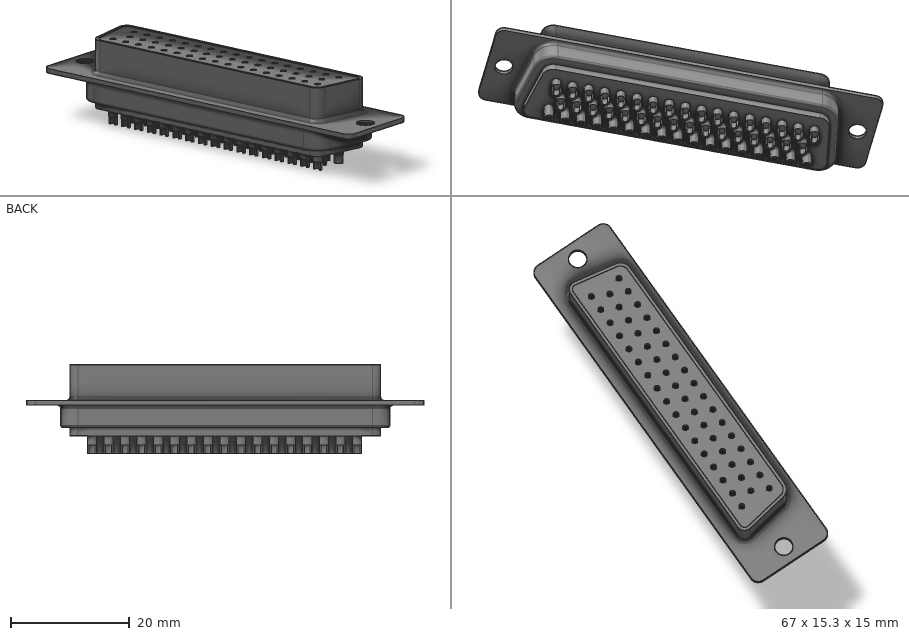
import cadquery as cq
import math


CUP_SHOULDER_Z = 1.5
BODY_BOTTOM_Z = 3.0
HOUSING_BOTTOM_Z = 4.4
FLANGE_BOTTOM_Z = 8.2
FLANGE_TOP_Z = 9.0
BODY_TOP_Z = 15.0

FLANGE_LENGTH = 67.05
FLANGE_WIDTH = 15.35
FLANGE_CORNER_RADIUS = 1.5
MOUNT_HOLE_SPACING = 61.3
MOUNT_HOLE_DIAMETER = 3.1

BODY_HALF_LENGTH = 25.55
BODY_WIDTH = 10.85
END_SLANT = math.radians(10)
WIDE_CORNER_RADIUS = 1.4
NARROW_CORNER_RADIUS = 2.0

HOUSING_OFFSET = 1.55
HOUSING_EDGE_RADIUS = 0.35
FLARE_RADIUS = 0.6

RIM_THICKNESS = 0.55
INSERT_RECESS = 0.1

ROW_LENGTH = 44.7
OUTER_ROW_COUNT = 17
CONTACT_PITCH = ROW_LENGTH / (OUTER_ROW_COUNT - 1)
ROW_SHIFT = 0.15
ROW_SPACING = 2.8
SOCKET_DIAMETER = 1.0
SOCKET_DEPTH = 5.35
CUP_DIAMETER = 1.55
CUP_BORE_DIAMETER = 1.0
CUP_CUT_PAST_AXIS = 0.17

CONTACT_ROWS = (
    (OUTER_ROW_COUNT, ROW_SPACING, 1),
    (OUTER_ROW_COUNT - 1, 0.0, -1),
    (OUTER_ROW_COUNT, -ROW_SPACING, -1),
)


def d_prism(offset, bottom, top):
    """Rounded trapezoid, wide at +Y, grown outwards by offset."""
    half_width = BODY_WIDTH / 2 + offset
    mid_half_length = BODY_HALF_LENGTH + offset / math.cos(END_SLANT)
    slant_run = half_width * math.tan(END_SLANT)
    wide = mid_half_length + slant_run
    narrow = mid_half_length - slant_run
    corners = [(-wide, half_width), (wide, half_width), (narrow, -half_width), (-narrow, -half_width)]
    prism = cq.Workplane("XY").workplane(offset=bottom).polyline(corners).close().extrude(top - bottom)
    prism = prism.edges("|Z and >Y").fillet(WIDE_CORNER_RADIUS + offset)
    return prism.edges("|Z and <Y").fillet(NARROW_CORNER_RADIUS + offset)


def flare_at(solid, height):
    """Fillet the inside corner around the D outline at one flange face."""
    reach_x = MOUNT_HOLE_SPACING / 2
    reach_y = BODY_WIDTH / 2 + HOUSING_OFFSET + FLARE_RADIUS / 2
    tolerance = 0.01
    corner_zone = cq.selectors.BoxSelector(
        (-reach_x, -reach_y, height - tolerance),
        (reach_x, reach_y, height + tolerance),
    )
    return solid.edges(corner_zone).fillet(FLARE_RADIUS)


def row_points(count, y):
    """Contact positions of one row, centred on the shifted contact field."""
    first_x = ROW_SHIFT - (count - 1) * CONTACT_PITCH / 2
    return [(first_x + i * CONTACT_PITCH, y) for i in range(count)]


def solder_cups(count, y, open_side):
    """Row of round posts whose tips are bored and cut open on one side."""
    points = row_points(count, y)
    posts = cq.Workplane("XY").pushPoints(points).circle(CUP_DIAMETER / 2).extrude(BODY_BOTTOM_Z)
    bores = cq.Workplane("XY").pushPoints(points).circle(CUP_BORE_DIAMETER / 2).extrude(CUP_SHOULDER_Z)
    opening = (
        cq.Workplane("XY")
        .center(0, y + open_side * (CUP_CUT_PAST_AXIS + CUP_DIAMETER / 2))
        .rect(FLANGE_LENGTH, CUP_DIAMETER)
        .extrude(CUP_SHOULDER_Z)
    )
    return posts.cut(bores).cut(opening)


flange = (
    cq.Workplane("XY")
    .workplane(offset=FLANGE_BOTTOM_Z)
    .rect(FLANGE_LENGTH, FLANGE_WIDTH)
    .extrude(FLANGE_TOP_Z - FLANGE_BOTTOM_Z)
    .edges("|Z")
    .fillet(FLANGE_CORNER_RADIUS)
)
housing = d_prism(HOUSING_OFFSET, HOUSING_BOTTOM_Z, FLANGE_BOTTOM_Z)
housing = housing.faces("<Z").edges().fillet(HOUSING_EDGE_RADIUS)
connector = flange.union(housing).union(d_prism(0, FLANGE_TOP_Z, BODY_TOP_Z))
connector = flare_at(connector, FLANGE_TOP_Z)
connector = flare_at(connector, FLANGE_BOTTOM_Z)
connector = connector.union(d_prism(0, BODY_BOTTOM_Z, HOUSING_BOTTOM_Z))

mount_holes = (
    cq.Workplane("XY")
    .workplane(offset=FLANGE_BOTTOM_Z)
    .pushPoints([(-MOUNT_HOLE_SPACING / 2, 0), (MOUNT_HOLE_SPACING / 2, 0)])
    .circle(MOUNT_HOLE_DIAMETER / 2)
    .extrude(FLANGE_TOP_Z - FLANGE_BOTTOM_Z)
)
connector = connector.cut(mount_holes)

connector = connector.cut(d_prism(-RIM_THICKNESS, BODY_TOP_Z - INSERT_RECESS, BODY_TOP_Z))

for row_count, row_y, cup_open_side in CONTACT_ROWS:
    sockets = (
        cq.Workplane("XY")
        .workplane(offset=BODY_TOP_Z)
        .pushPoints(row_points(row_count, row_y))
        .circle(SOCKET_DIAMETER / 2)
        .extrude(-SOCKET_DEPTH)
    )
    connector = connector.cut(sockets).union(solder_cups(row_count, row_y, cup_open_side))

result = connector